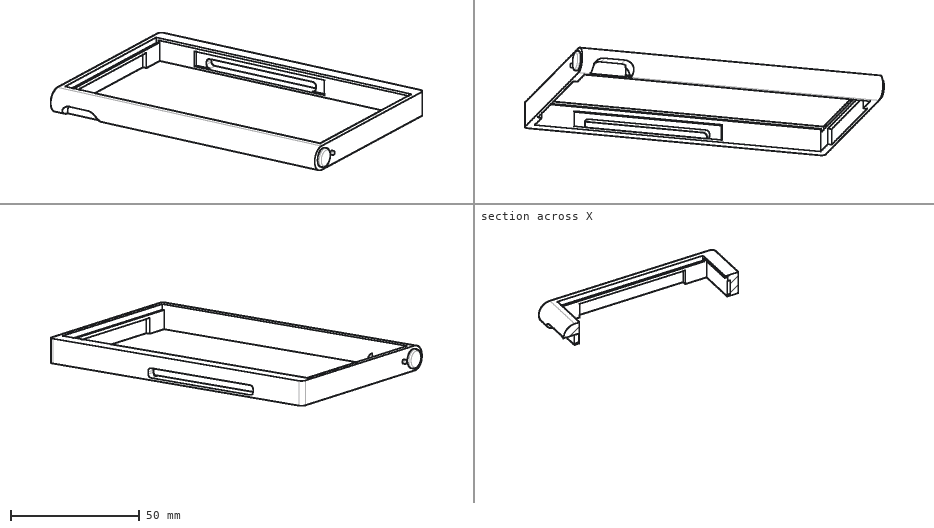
import cadquery as cq

body_length = 122.5
frame_depth = 79.0
height = 10.0
rail_radius = height / 2
back_corner_radius = 1.8
half_length = body_length / 2
front_y = -frame_depth / 2
back_y = frame_depth / 2
rail_axis_y = front_y + rail_radius

side_wall = 2.1
ledge_width = 0.9
ledge_z = 7.8
window_front_y = front_y + 7.2
window_back_y = back_y - 6.0
upper_half_width = half_length - side_wall
lower_half_width = upper_half_width - ledge_width

lip_thickness = 1.0
undercut_depth = 1.1
lower_back_y = window_back_y + undercut_depth

side_recess_front_y = -22.8
side_recess_back_y = 25.0
side_recess_height = 6.4
side_recess_depth = 1.6

back_recess_center_x = -12.0
back_recess_length = 60.2
back_recess_bottom = 1.0
back_recess_top = 7.2
back_recess_depth = 1.2
slot_length = 50.8
slot_bottom = back_recess_bottom
slot_top = 4.9
slot_corner_radius = 1.5

notch_left_x = -56.5
notch_right_x = -39.9
notch_height = 5.1
notch_corner_radius = 4.1
notch_floor_y = rail_axis_y
notch_step_x = -42.1
notch_step_bottom = 0.8
notch_step_depth = 1.9

end_projection = 1.2
button_diameter = 7.8
button_fillet = 0.6
button_y = front_y + 5.9
pin_diameter = 1.8
pin_fillet = 0.6
pin_y = front_y + 12.1


def box(x0, x1, y0, y1, z0, z1):
    """Axis-aligned box between two opposite corners."""
    return cq.Workplane("XY").box(x1 - x0, y1 - y0, z1 - z0, centered=False).translate((x0, y0, z0))


def make_body():
    plate = box(-half_length, half_length, rail_axis_y, back_y, 0, height)
    plate = plate.edges("|Z and >Y").fillet(back_corner_radius)
    rail = (
        cq.Workplane("YZ", origin=(-half_length, 0, 0))
        .center(rail_axis_y, rail_radius)
        .circle(rail_radius)
        .extrude(body_length)
    )
    return plate.union(rail)


def make_window():
    lower = box(-lower_half_width, lower_half_width, window_front_y, window_back_y, 0, height)
    upper = box(-upper_half_width, upper_half_width, window_front_y, window_back_y, ledge_z, height)
    undercut = box(
        -lower_half_width, lower_half_width, window_back_y, lower_back_y, 0, height - lip_thickness
    )
    return lower.union(upper).union(undercut)


def make_side_recesses():
    reach = lower_half_width + side_recess_depth
    return box(-reach, reach, side_recess_front_y, side_recess_back_y, 0, side_recess_height)


def make_back_recess():
    recess_floor_y = lower_back_y + back_recess_depth
    recess = box(
        back_recess_center_x - back_recess_length / 2,
        back_recess_center_x + back_recess_length / 2,
        lower_back_y,
        recess_floor_y,
        back_recess_bottom,
        back_recess_top,
    )
    slot = box(
        back_recess_center_x - slot_length / 2,
        back_recess_center_x + slot_length / 2,
        recess_floor_y,
        back_y,
        slot_bottom,
        slot_top,
    )
    return recess.union(slot.edges("|Y").fillet(slot_corner_radius))


def make_notch():
    outline = box(notch_left_x, notch_right_x, front_y, notch_floor_y + notch_step_depth, 0, notch_height)
    outline = outline.edges("|Y and >Z").fillet(notch_corner_radius)
    main = box(notch_left_x, notch_right_x, front_y, notch_floor_y, 0, notch_height)
    step = box(
        notch_step_x,
        notch_right_x,
        notch_floor_y,
        notch_floor_y + notch_step_depth,
        notch_step_bottom,
        notch_height,
    )
    return outline.intersect(main.union(step))


def make_end_cylinder(diameter, y):
    """Cylinder along X that projects from both ends, before the window is cut."""
    return (
        cq.Workplane("YZ", origin=(-half_length - end_projection, 0, 0))
        .center(y, height / 2)
        .circle(diameter / 2)
        .extrude(body_length + 2 * end_projection)
    )


buttons = make_end_cylinder(button_diameter, button_y).faces("<X or >X").edges().fillet(button_fillet)
pins = make_end_cylinder(pin_diameter, pin_y).faces("<X or >X").edges().fillet(pin_fillet)

result = make_body().union(buttons).union(pins)
for cutter in (make_window(), make_side_recesses(), make_back_recess(), make_notch()):
    result = result.cut(cutter)